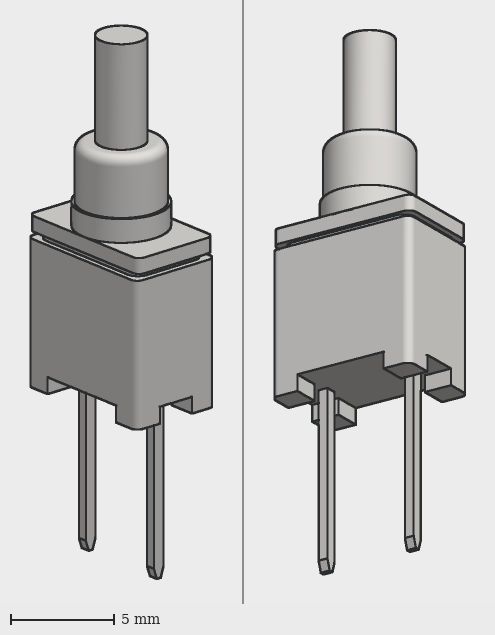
import cadquery as cq

PIN_TAPER_TOP = 0.58
BODY_BOTTOM = 8.67
NOTCH_TOP = 9.55
BODY_TOP = 16.4
PLATE_BOTTOM = 16.73
PLATE_TOP = 17.55
COLLAR_TOP = 18.8
BUSHING_TOP = 21.95
PLUNGER_TOP = 27.43

BODY_LENGTH = 8.12
BODY_WIDTH = 5.07
PLATE_WIDTH = 4.85
CORNER_RADIUS = 0.4
NECK_LENGTH = 7.35
NECK_WIDTH = 4.4
NECK_CORNER_RADIUS = 0.65

COLLAR_DIAMETER = 4.85
BUSHING_DIAMETER = 4.55
BUSHING_FILLET = 0.5
PLUNGER_DIAMETER = 2.55

PIN_SPACING = 5.05
PIN_THICKNESS = 0.52
PIN_WIDTH = 0.63
PIN_TIP_WIDTH = 0.25

LONG_NOTCH = PIN_SPACING
SHORT_NOTCH = 2.05


def block(length, width, bottom, top):
    return cq.Workplane("XY", origin=(0, 0, bottom)).rect(length, width).extrude(top - bottom)


def rounded_block(length, width, bottom, top, radius):
    return block(length, width, bottom, top).edges("|Z").fillet(radius)


def cylinder(diameter, bottom, top):
    return cq.Workplane("XY", origin=(0, 0, bottom)).circle(diameter / 2).extrude(top - bottom)


def make_housing():
    """Rounded box whose crossed bottom notches leave four corner feet."""
    housing = rounded_block(BODY_LENGTH, BODY_WIDTH, BODY_BOTTOM, BODY_TOP, CORNER_RADIUS)
    housing = housing.cut(block(LONG_NOTCH, BODY_WIDTH, BODY_BOTTOM, NOTCH_TOP))
    return housing.cut(block(BODY_LENGTH, SHORT_NOTCH, BODY_BOTTOM, NOTCH_TOP))


def make_cover():
    """Cover plate standing off the housing on a smaller neck."""
    neck = rounded_block(NECK_LENGTH, NECK_WIDTH, BODY_TOP, PLATE_BOTTOM, NECK_CORNER_RADIUS)
    plate = rounded_block(BODY_LENGTH, PLATE_WIDTH, PLATE_BOTTOM, PLATE_TOP, CORNER_RADIUS)
    return neck.union(plate)


def make_bushing():
    """Collar, round-topped bushing and plunger."""
    collar = cylinder(COLLAR_DIAMETER, PLATE_TOP, COLLAR_TOP)
    bushing = cylinder(BUSHING_DIAMETER, COLLAR_TOP, BUSHING_TOP).faces(">Z").edges().fillet(BUSHING_FILLET)
    plunger = cylinder(PLUNGER_DIAMETER, BUSHING_TOP, PLUNGER_TOP)
    return collar.union(bushing).union(plunger)


def make_pin(x_center):
    """Flat pin narrowing in Y toward its tip."""
    outline = [
        (-PIN_TIP_WIDTH / 2, 0),
        (PIN_TIP_WIDTH / 2, 0),
        (PIN_WIDTH / 2, PIN_TAPER_TOP),
        (PIN_WIDTH / 2, NOTCH_TOP),
        (-PIN_WIDTH / 2, NOTCH_TOP),
        (-PIN_WIDTH / 2, PIN_TAPER_TOP),
    ]
    start = x_center - PIN_THICKNESS / 2
    return cq.Workplane("YZ", origin=(start, 0, 0)).polyline(outline).close().extrude(PIN_THICKNESS)


result = make_housing().union(make_cover()).union(make_bushing())
for side in (-1, 1):
    result = result.union(make_pin(side * PIN_SPACING / 2))